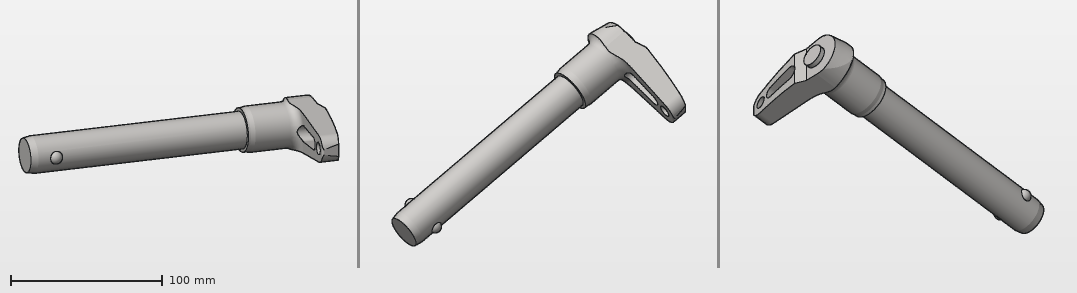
import cadquery as cq
import math

total_length = 206.8

shank_radius = 12.6
tip_radius = 11.5
tip_length = 5.2

ball_radius = 4.5
ball_y = 17.8
ball_reach = 15.5

collar_radius = 14.9
collar_y = 152.5
collar_length = 1.9
sleeve_radius = 15.5
sleeve_y = 157.4

head_base_y = 188.5
head_top_y = 203.3
head_width = 33.3
head_half_width = head_width / 2
head_round_x = -4.0
cone_base_radius = 20.5
cone_top_radius = 17.8
flare_radius = 6.2

taper_angle = 7.5
lever_end_x = 63.7
lever_end_radius = 9.3
lever_end_center_x = lever_end_x - lever_end_radius
lever_end_base_y = 186.5
lever_end_top_y = 198.3
lever_end_draft = 1.0
lever_corner_radius = 1.2
hump_start_x = 8.9
hump_x = 17.0
hump_y = 206.2
back_arc_x = 37.2
back_arc_y = 203.5

slot_start_x = 16.8
slot_end_x = 47.4
slot_big_radius = 5.5
slot_small_radius = 4.3
hole_radius = 4.1

button_radius = 7.9

margin = 2.0
trim_half_width = head_half_width + margin


def tapered_outline(x1, r1, x2, r2):
    """Closed outline in the XZ plane around two circles joined by tangent lines."""
    angle = math.asin((r1 - r2) / (x2 - x1))
    sine = math.sin(angle)
    cosine = math.cos(angle)
    return (
        cq.Workplane("XZ")
        .moveTo(x1 + r1 * sine, r1 * cosine)
        .lineTo(x2 + r2 * sine, r2 * cosine)
        .threePointArc((x2 + r2, 0), (x2 + r2 * sine, -r2 * cosine))
        .lineTo(x1 + r1 * sine, -r1 * cosine)
        .threePointArc((x1 - r1, 0), (x1 + r1 * sine, r1 * cosine))
        .close()
    )


def head_outline():
    """Outline of head and lever: round blunt end, short flats, tapered sides, round tip."""
    sine = math.sin(math.radians(taper_angle))
    cosine = math.cos(math.radians(taper_angle))
    tip_x = lever_end_center_x + lever_end_radius * sine
    tip_z = lever_end_radius * cosine
    flat_end_x = tip_x - (head_half_width - tip_z) * cosine / sine
    return (
        cq.Workplane("XZ")
        .moveTo(head_round_x, head_half_width)
        .lineTo(flat_end_x, head_half_width)
        .lineTo(tip_x, tip_z)
        .threePointArc((lever_end_x, 0), (tip_x, -tip_z))
        .lineTo(flat_end_x, -head_half_width)
        .lineTo(head_round_x, -head_half_width)
        .threePointArc((head_round_x - head_half_width, 0), (head_round_x, head_half_width))
        .close()
    )


def make_pin():
    """Shank, collar, sleeve and concave flare, revolved around the pin axis."""
    flare_start_y = head_base_y - flare_radius
    flare_end_radius = sleeve_radius + flare_radius
    flare_mid = flare_radius * math.sqrt(0.5)
    collar_top_y = collar_y + collar_length
    return (
        cq.Workplane("XY")
        .lineTo(tip_radius, 0)
        .lineTo(shank_radius, tip_length)
        .lineTo(shank_radius, collar_y)
        .lineTo(collar_radius, collar_y)
        .lineTo(collar_radius, collar_top_y)
        .lineTo(sleeve_radius, sleeve_y)
        .lineTo(sleeve_radius, flare_start_y)
        .threePointArc(
            (flare_end_radius - flare_mid, flare_start_y + flare_mid),
            (flare_end_radius, head_base_y),
        )
        .lineTo(cone_base_radius, head_base_y + flare_radius)
        .lineTo(0, head_base_y + flare_radius)
        .close()
        .revolve(360, (0, 0, 0), (0, 1, 0))
    )


def make_side_profile():
    """Side shape of head and lever: level over the pin, humped, then sloping to the tip."""
    left_x = -cone_base_radius - margin
    return (
        cq.Workplane("XY")
        .moveTo(left_x, 0)
        .lineTo(left_x, head_top_y)
        .lineTo(hump_start_x, head_top_y)
        .lineTo(hump_x, hump_y)
        .threePointArc(
            (back_arc_x, back_arc_y),
            (lever_end_x - lever_end_draft, lever_end_top_y),
        )
        .lineTo(lever_end_x, lever_end_base_y)
        .lineTo(sleeve_radius + flare_radius, head_base_y)
        .lineTo(sleeve_radius + flare_radius, 0)
        .close()
        .extrude(trim_half_width, both=True)
        .edges("|Z and >X")
        .fillet(lever_corner_radius)
    )


def make_lever_block(start_x):
    """Block around everything beyond start_x on the lever side."""
    return (
        cq.Workplane("XY")
        .box(lever_end_x + margin, total_length, 2 * trim_half_width, centered=(False, False, True))
        .translate((start_x, 0, 0))
    )


def make_end_cone():
    """Cone that trims the blunt end, joined to a block that leaves the lever whole."""
    taper = (cone_base_radius - cone_top_radius) / (head_top_y - head_base_y)
    base_radius = cone_base_radius + taper * head_base_y
    top_radius = cone_base_radius - taper * (total_length - head_base_y)
    cone = (
        cq.Workplane("XY")
        .lineTo(base_radius, 0)
        .lineTo(top_radius, total_length)
        .lineTo(0, total_length)
        .close()
        .revolve(360, (0, 0, 0), (0, 1, 0))
    )
    return cone.union(make_lever_block(0))


def make_body():
    """Pin joined to a blank, trimmed to the head outline above the sleeve."""
    prism = head_outline().extrude(-total_length)
    pin = make_pin()
    head_blank = make_side_profile().intersect(make_end_cone())
    upper_space = (
        cq.Workplane("XZ")
        .workplane(offset=-head_base_y)
        .rect(3 * lever_end_x, 3 * lever_end_x)
        .extrude(-total_length)
    )
    lever_space = make_lever_block(sleeve_radius + flare_radius)
    head = head_blank.intersect(prism).intersect(upper_space.union(lever_space))
    trimmed_pin = pin.intersect(prism).intersect(make_end_cone())
    return trimmed_pin.union(head)


def cut_lever_openings(body):
    """Tapered finger slot and lanyard hole through the lever."""
    slot = tapered_outline(
        slot_start_x + slot_big_radius,
        slot_big_radius,
        slot_end_x - slot_small_radius,
        slot_small_radius,
    ).extrude(-2 * total_length)
    hole = cq.Workplane("XZ").center(lever_end_center_x, 0).circle(hole_radius).extrude(-2 * total_length)
    return body.cut(slot).cut(hole)


def make_button():
    """Release button on the head."""
    return (
        cq.Workplane("XZ")
        .workplane(offset=-head_base_y)
        .circle(button_radius)
        .extrude(head_base_y - total_length)
    )


def make_ball(side):
    """Locking ball protruding from the shank on the given side of X."""
    ball_x = side * (ball_reach - ball_radius)
    return cq.Workplane("XY").sphere(ball_radius).translate((ball_x, ball_y, 0))


result = cut_lever_openings(make_body()).union(make_button())
for side in (-1, 1):
    result = result.union(make_ball(side))